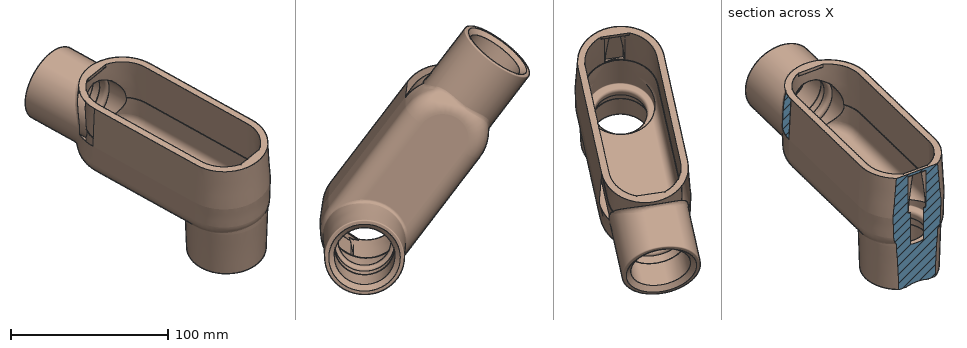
import cadquery as cq
import math

LENGTH = 173.25
WIDTH = 58.82
RIM_Z = 31.0
HUB_END_Z = RIM_Z - 89.02

BOX_R = WIDTH / 2
END_SPACING = 84.14
RIGHT_X = LENGTH - BOX_R
LEFT_X = RIGHT_X - END_SPACING
MID_X = (LEFT_X + RIGHT_X) / 2
BOX_BOTTOM_Z = -28.2
BOX_EDGE_R = 12.7
UPPER_DRAFT = 3.0
LOWER_DRAFT = 1.5

CAVITY_R = 23.9
CAVITY_UPPER_DRAFT = 1.45
CAVITY_LOWER_DRAFT = 1.5
CAVITY_LEDGE = 0.35
FLOOR_THICKNESS = 7.8
FLOOR_Z = BOX_BOTTOM_Z + FLOOR_THICKNESS
FLOOR_EDGE_R = 6.7

HUB_R = 25.4
HUB_EDGE_R = 0.8
SIDE_BLEND_R = 3.0
SIDE_HUB_END_X = LEFT_X - 8
BOTTOM_HUB_X = 145.6
BOTTOM_HUB_DRAFT = 1.7
BOTTOM_HUB_DRAFT_TOP_Z = -23.4
BOTTOM_HUB_TOP_Z = -15.0
BOTTOM_BLEND_R = 2.0

MOUTH_R = 22.75
MOUTH_DEPTH = 2.8
THREAD_R = 19.3
THREAD_DEPTH = 20.0
SEAT_R = 19.05
THROAT_R = 16.75
THROAT_START = 28.2
THROAT_END = 30.2
OUTLET_R = 19.8
THROAT_EDGE_R = SEAT_R - THROAT_R
BORE_END = THROAT_END + THROAT_EDGE_R

POCKET_FLOOR_R = 42.32 / 2
POCKET_EDGE_R = 0.64
POCKET_R = POCKET_FLOOR_R + POCKET_EDGE_R
POCKET_Z = HUB_END_Z + BORE_END

LIP_REACH = 21.25
LIP_HEIGHT = 2.4
RECESS_DEPTH = 1.5
RECESS_WIDTH = 13.3
RECESS_BEVEL = 1.0
RECESS_BOTTOM_Z = 0.7


def trough(radius, z_end, draft):
    """Round-ended prism from the parting plane to z_end, offset inward by the draft angle."""
    return (
        cq.Workplane("XY")
        .center(MID_X, 0)
        .slot2D(END_SPACING + 2 * radius, 2 * radius)
        .extrude(z_end, taper=draft)
    )


def make_box():
    upper = trough(BOX_R, RIM_Z, UPPER_DRAFT)
    lower = trough(BOX_R, BOX_BOTTOM_Z, LOWER_DRAFT).faces("<Z").edges().fillet(BOX_EDGE_R)
    return upper.union(lower)


def make_cavity():
    upper = trough(CAVITY_R, RIM_Z, CAVITY_UPPER_DRAFT)
    lower = trough(CAVITY_R - CAVITY_LEDGE, FLOOR_Z, CAVITY_LOWER_DRAFT).faces("<Z").edges().fillet(FLOOR_EDGE_R)
    return upper.union(lower)


def revolved(profile):
    """Turn a closed half profile (X = radius, Z = height) about the Z axis."""
    return profile.revolve(360, (0, 0, 0), (0, 1, 0))


def along_side_axis(shape):
    """Lay a shape built up from the origin along +Z onto the side hub axis, pointing along +X."""
    return shape.rotate((0, 0, 0), (0, 1, 0), 90)


def make_side_hub():
    hub = revolved(cq.Workplane("XZ").rect(HUB_R, SIDE_HUB_END_X, centered=False))
    return along_side_axis(hub.faces("<Z").edges("%CIRCLE").fillet(HUB_EDGE_R))


def make_bottom_hub():
    draft_height = BOTTOM_HUB_DRAFT_TOP_Z - HUB_END_Z
    top_r = HUB_R + draft_height * math.tan(math.radians(BOTTOM_HUB_DRAFT))
    profile = (
        cq.Workplane("XZ")
        .moveTo(0, HUB_END_Z)
        .lineTo(HUB_R, HUB_END_Z)
        .lineTo(top_r, BOTTOM_HUB_DRAFT_TOP_Z)
        .lineTo(top_r, BOTTOM_HUB_TOP_Z)
        .lineTo(0, BOTTOM_HUB_TOP_Z)
        .close()
    )
    hub = revolved(profile).faces("<Z").edges("%CIRCLE").fillet(HUB_EDGE_R)
    return hub.translate((BOTTOM_HUB_X, 0, 0))


def make_body():
    """Solid outside shape: the box with both hubs blended into it."""
    side_joint = cq.selectors.BoxSelector((0, -BOX_R, BOX_BOTTOM_Z + 1), (LEFT_X - 10, BOX_R, RIM_Z - 1))
    bottom_joint = cq.selectors.BoxSelector((MID_X, -BOX_R, HUB_END_Z / 2), (LENGTH, BOX_R, BOTTOM_HUB_TOP_Z))
    body = make_box().union(make_side_hub())
    body = body.edges(side_joint).edges("%BSPLINE").fillet(SIDE_BLEND_R)
    body = body.union(make_bottom_hub())
    return body.edges(bottom_joint).edges("%BSPLINE").fillet(BOTTOM_BLEND_R)


def make_bore(end_depth):
    """Bore of one hub, from its end at z = 0 up to end_depth: chamfer, thread, seat and rounded throat."""
    arc_mid = THROAT_EDGE_R * math.sqrt(0.5)
    throat_edge_start = THROAT_START - THROAT_EDGE_R
    profile = (
        cq.Workplane("XZ")
        .lineTo(MOUTH_R, 0)
        .lineTo(THREAD_R, MOUTH_DEPTH)
        .lineTo(THREAD_R, THREAD_DEPTH)
        .lineTo(SEAT_R, THREAD_DEPTH)
        .lineTo(SEAT_R, throat_edge_start)
        .threePointArc(
            (SEAT_R - arc_mid, THROAT_START - arc_mid),
            (THROAT_R, THROAT_START),
        )
        .lineTo(THROAT_R, THROAT_END)
        .threePointArc((SEAT_R - arc_mid, THROAT_END + arc_mid), (SEAT_R, BORE_END))
        .lineTo(OUTLET_R, BORE_END)
        .lineTo(OUTLET_R, end_depth)
        .lineTo(0, end_depth)
        .close()
    )
    return revolved(profile)


def make_pocket():
    floor_plane = cq.Workplane("XY", origin=(BOTTOM_HUB_X, 0, POCKET_Z))
    return floor_plane.circle(POCKET_R).extrude(-POCKET_Z).faces("<Z").edges().fillet(POCKET_EDGE_R)


def make_lip_zone():
    """The two stretches of cavity beyond the lip flats, just under the rim."""
    reach = CAVITY_R
    zone = cq.Workplane("XY")
    for centre_x, side in ((LEFT_X, -1), (RIGHT_X, 1)):
        block = (
            cq.Workplane("XY", origin=(centre_x + side * (LIP_REACH + reach / 2), 0, RIM_Z - LIP_HEIGHT))
            .rect(reach, WIDTH)
            .extrude(LIP_HEIGHT)
        )
        zone = zone.add(block)
    return zone.combine()


def make_recess():
    """Recess in the right end wall; its two sides and its bottom slope in towards the back."""
    mouth_reach = math.sqrt(CAVITY_R**2 - (RECESS_WIDTH / 2) ** 2)
    height = RIM_Z - LIP_HEIGHT - RECESS_BOTTOM_Z
    return (
        cq.Workplane("YZ", origin=(RIGHT_X + mouth_reach, 0, RECESS_BOTTOM_Z + height / 2))
        .rect(RECESS_WIDTH, height)
        .workplane(offset=RECESS_DEPTH)
        .center(0, RECESS_BEVEL / 2)
        .rect(RECESS_WIDTH - 2 * RECESS_BEVEL, height - RECESS_BEVEL)
        .loft(ruled=True)
    )


body = make_body()
body = body.cut(make_cavity().cut(make_lip_zone()))
body = body.cut(make_pocket())
body = body.cut(along_side_axis(make_bore(LEFT_X)))
body = body.cut(make_bore(-HUB_END_Z + FLOOR_Z).translate((BOTTOM_HUB_X, 0, HUB_END_Z)))
result = body.cut(make_recess())